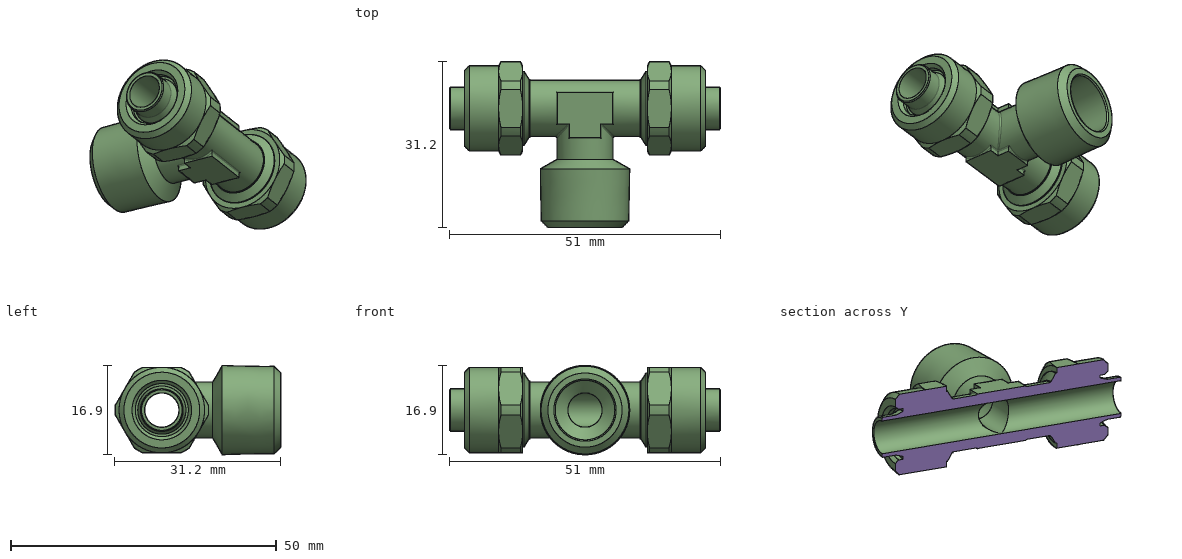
import cadquery as cq
import math


half_length = 25.5
bore_radius = 3.2
tube_radius = 5.3
spigot_radius = 4.05
spigot_chamfer = 0.2
barb_radius = 4.55
barb_start = 2.95
barb_end = 4.5

collar_radius = 7.0
collar_cylinder = 0.25
collar_cone = 0.95
collar_small_radius = 5.45
collar_lip = 0.15

nut_start = 2.8
nut_radius = 8.05
nut_chamfer = 0.9
hex_start = 9.25
hex_end = 13.75
hex_across_flats = 2 * nut_radius
hex_corner_radius = 8.8
hex_chamfer_angle = 30.0
nut_mouth_radius = 5.6
nut_mouth_depth = 0.75
nut_bore_radius = 5.0

branch_length = 22.45
shoulder_start = 9.6
shoulder_end = 11.35
port_root_radius = 8.44
port_tip_radius = 8.25
port_chamfer_length = 1.3
port_face_radius = 7.0
port_bore_radius = 5.6
port_mouth_radius = 5.85
port_bore_floor = 11.35
port_cone_length = 1.8

pad_height = 5.45
pad_half_width = 5.15
pad_back = 3.0
pad_front = 2.95
pad_stem_half_width = 2.95
pad_stem_front = 5.45

junction_fillet = 0.25


def revolve_about_x(profile):
    """Revolve an (x, radius) outline about the X axis."""
    return cq.Workplane("XY").polyline(profile).close().revolve(360, (0, 0, 0), (1, 0, 0))


def revolve_about_y(profile):
    """Revolve a (distance, radius) outline about the Y axis, distances running toward -Y."""
    points = [(radius, -distance) for distance, radius in profile]
    return cq.Workplane("XY").polyline(points).close().revolve(360, (0, 0, 0), (0, 1, 0))


def make_pads():
    """T-shaped plates, symmetric about the XY plane."""
    outline = [
        (-pad_half_width, pad_back),
        (pad_half_width, pad_back),
        (pad_half_width, -pad_front),
        (pad_stem_half_width, -pad_front),
        (pad_stem_half_width, -pad_stem_front),
        (-pad_stem_half_width, -pad_stem_front),
        (-pad_stem_half_width, -pad_front),
        (-pad_half_width, -pad_front),
    ]
    return cq.Workplane("XY").polyline(outline).close().extrude(pad_height, both=True)


def make_junction():
    """Run tube, branch tube and pads, with their meeting edges rounded."""
    tube_half_length = half_length - hex_end
    run = cq.Workplane("YZ").circle(tube_radius).extrude(tube_half_length, both=True)
    branch = cq.Workplane("XZ").circle(tube_radius).extrude(shoulder_start)
    junction = run.union(branch).union(make_pads())
    margin = 0.05
    around_pads = cq.selectors.BoxSelector(
        (-tube_radius, -pad_stem_front - margin, -tube_radius),
        (tube_radius, pad_back + margin, tube_radius),
    )
    return junction.edges("not |Z").edges(around_pads).fillet(junction_fillet)


def make_run_end():
    """Spigot, barb and collar at the -X end of the run."""
    collar_cone_start = hex_end + collar_cylinder
    collar_cone_end = collar_cone_start + collar_cone
    collar_end = collar_cone_end + collar_lip
    profile = [
        (0, 0),
        (0, spigot_radius - spigot_chamfer),
        (spigot_chamfer, spigot_radius),
        (barb_start, spigot_radius),
        (barb_end, barb_radius),
        (hex_end, barb_radius),
        (hex_end, collar_radius),
        (collar_cone_start, collar_radius),
        (collar_cone_end, collar_small_radius),
        (collar_end, collar_small_radius),
        (collar_end, 0),
    ]
    return revolve_about_x(profile).translate((-half_length, 0, 0))


def make_nut():
    """Nut at the -X end: round sleeve, then a hexagon with chamfered corners."""
    sleeve = revolve_about_x([
        (nut_start, 0),
        (nut_start, nut_radius - nut_chamfer),
        (nut_start + nut_chamfer, nut_radius),
        (hex_start, nut_radius),
        (hex_start, 0),
    ])
    across_corners = hex_across_flats / math.cos(math.pi / 6)
    hexagon = (
        cq.Workplane("YZ", origin=(hex_start, 0, 0))
        .polygon(6, across_corners)
        .extrude(hex_end - hex_start)
    )
    chamfer_length = (hex_corner_radius - nut_radius) * math.tan(math.radians(hex_chamfer_angle))
    envelope = revolve_about_x([
        (hex_start, 0),
        (hex_start, nut_radius),
        (hex_start + chamfer_length, hex_corner_radius),
        (hex_end - chamfer_length, hex_corner_radius),
        (hex_end, nut_radius),
        (hex_end, 0),
    ])
    mouth = revolve_about_x([
        (nut_start, 0),
        (nut_start, nut_mouth_radius),
        (nut_start + nut_mouth_depth, nut_bore_radius),
        (barb_end, nut_bore_radius),
        (barb_end, 0),
    ])
    nut = sleeve.union(hexagon.intersect(envelope)).cut(mouth)
    return nut.translate((-half_length, 0, 0))


def make_port():
    """Shoulder cone, slightly tapered thread body and end chamfer."""
    return revolve_about_y([
        (shoulder_start, 0),
        (shoulder_start, tube_radius),
        (shoulder_end, port_root_radius),
        (branch_length - port_chamfer_length, port_tip_radius),
        (branch_length, port_face_radius),
        (branch_length, 0),
    ])


def make_port_bore():
    """Mouth chamfer, wide bore, conical floor and passage to the run bore."""
    mouth_depth = port_mouth_radius - port_bore_radius
    return revolve_about_y([
        (0, 0),
        (0, bore_radius),
        (port_bore_floor - port_cone_length, bore_radius),
        (port_bore_floor, port_bore_radius),
        (branch_length - mouth_depth, port_bore_radius),
        (branch_length, port_mouth_radius),
        (branch_length, 0),
    ])


run_end = make_nut().union(make_run_end())
run_bore = cq.Workplane("YZ").circle(bore_radius).extrude(half_length, both=True)
junction = make_junction()

result = (
    junction
    .union(make_port())
    .union(run_end)
    .union(run_end.mirror("YZ"))
    .cut(run_bore)
    .cut(make_port_bore())
)